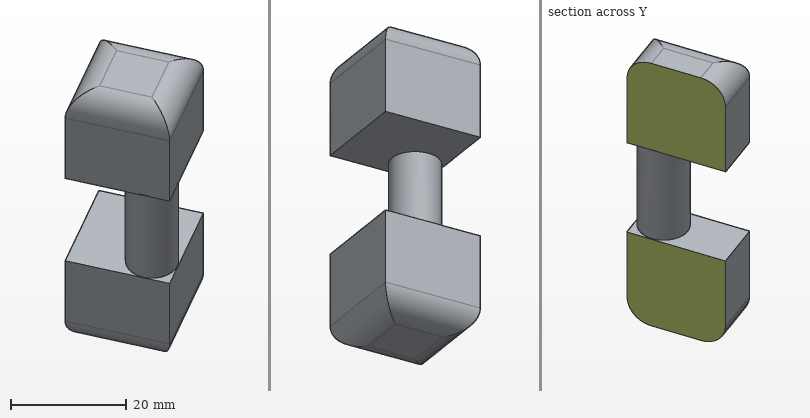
import cadquery as cq

block_width = 19.05
total_height = 3 * block_width
clearance = 0.254

gap = block_width + clearance
block_height = (total_height - gap) / 2
edge_radius = block_width / 4
pin_diameter = block_width / 2 - clearance

pin_x = block_width / 4
pin_y = -block_width / 4


def end_block(base_z, rounded_face):
    """Square block standing on base_z, with the four edges of its outer end face rounded."""
    block = (
        cq.Workplane("XY")
        .workplane(offset=base_z)
        .rect(block_width, block_width)
        .extrude(block_height)
    )
    return block.faces(rounded_face).edges().fillet(edge_radius)


def connecting_pin():
    """Round pin that spans the gap between the two blocks."""
    return (
        cq.Workplane("XY")
        .workplane(offset=block_height)
        .center(pin_x, pin_y)
        .circle(pin_diameter / 2)
        .extrude(gap)
    )


lower_block = end_block(0, "<Z")
upper_block = end_block(block_height + gap, ">Z")

result = lower_block.union(connecting_pin()).union(upper_block)